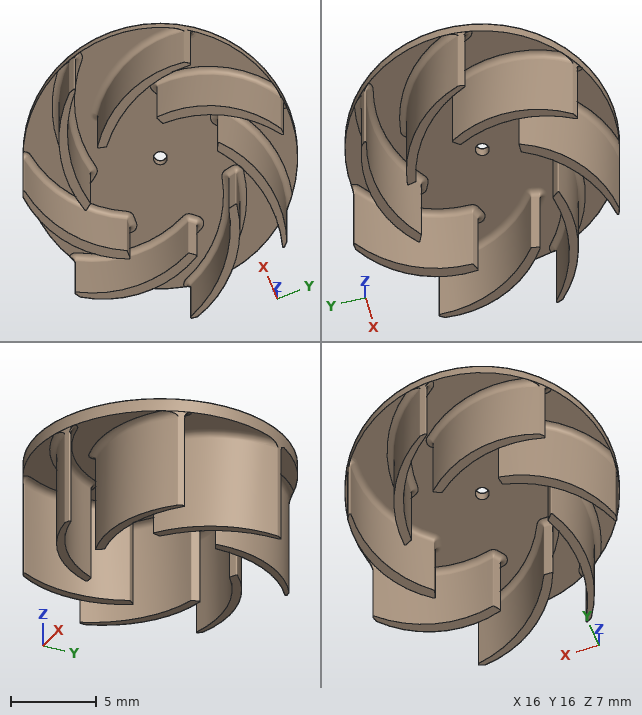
import cadquery as cq
disc_diameter = 16.0
disc_thickness = 0.8
bore_diameter = 0.8
total_height = 7.0

blade_count = 7
seed_blade_angle = 31.9
outer_curve_radius = 6.95
outer_curve_centre = (1.71, 2.85)
inner_curve_radius = 7.55
inner_curve_centre = (1.28, 3.94)
inner_end_point = (1.98, -3.8)
inner_end_tilt = 71.6
corner_radius = 0.06
root_fillet = 0.4

disc_radius = disc_diameter / 2
blade_height = total_height - disc_thickness
pitch_angle = 360 / blade_count


def cylinder(radius, bottom, height, centre=(0, 0)):
    return cq.Workplane("XY", origin=(*centre, bottom)).circle(radius).extrude(height)


def make_disc():
    """Round plate on top of the blades, with a through bore."""
    plate = cylinder(disc_radius, blade_height, disc_thickness)
    bore = cylinder(bore_diameter / 2, blade_height, disc_thickness)
    return plate.cut(bore)


def make_plain_blade():
    """Crescent between two arcs, ending at the rim and at a flat inner end, with rounded corners."""
    crescent = cylinder(outer_curve_radius, 0, blade_height, outer_curve_centre)
    crescent = crescent.cut(cylinder(inner_curve_radius, 0, blade_height, inner_curve_centre))
    crescent = crescent.intersect(cylinder(disc_radius, 0, blade_height))
    blade_side = (
        cq.Workplane("XY", origin=(*inner_end_point, 0))
        .transformed(rotate=(0, 0, inner_end_tilt))
        .center(0, -disc_radius)
        .rect(disc_diameter, disc_diameter)
        .extrude(blade_height)
    )
    return crescent.intersect(blade_side).edges("|Z").fillet(corner_radius)


def make_blade():
    """Blade that flares into the disc with a root fillet, trimmed flush with the rim."""
    slab = cylinder(disc_diameter, blade_height, disc_thickness)
    joined = make_plain_blade().union(slab)
    slab_underside = joined.faces(cq.selectors.NearestToPointSelector((0, 0, blade_height)))
    root_edges = slab_underside.val().innerWires()[0].Edges()
    filleted = joined.newObject(root_edges).fillet(root_fillet)
    return filleted.intersect(cylinder(disc_radius, 0, blade_height))


blade = make_blade()
blades = [
    blade.rotate((0, 0, 0), (0, 0, 1), seed_blade_angle + index * pitch_angle)
    for index in range(blade_count)
]

seed_blade, *separate_blades = blades
disc = make_disc().union(seed_blade)

result = cq.Compound.makeCompound([disc.val(), *[copy.val() for copy in separate_blades]])